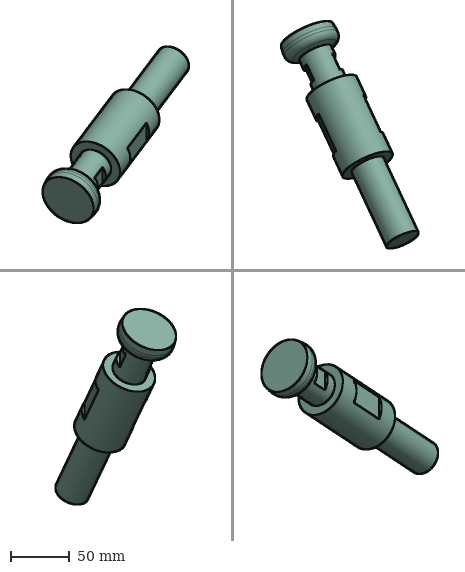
import cadquery as cq
import math

TOTAL_LENGTH = 200.0

SHAFT_DIAMETER = 30.0
SHAFT_FLAT_WIDTH = 24.0
SHAFT_FLAT_START = 26.5
SHAFT_FLAT_LENGTH = 15.0

HEAD_DIAMETER = 50.0
HEAD_FACE_DIAMETER = 48.5
HEAD_TAPER_LENGTH = 6.0
HEAD_BAND_LENGTH = 3.0
HEAD_ROUND_RADIUS = 7.2
HEAD_BACK_ANGLE = 21.0

SLEEVE_DIAMETER = 46.8
SLEEVE_START = 52.0
SLEEVE_LENGTH = 75.0
SLEEVE_FLAT_WIDTH = 41.5
SLEEVE_FLAT_LENGTH = 36.0

FRONT_Y = -TOTAL_LENGTH / 2


def cylinder(diameter, start, length):
    """Cylinder along +Y, starting at a distance from the head face."""
    origin = cq.Vector(0, FRONT_Y + start, 0)
    return cq.Workplane(cq.Solid.makeCylinder(diameter / 2, length, origin, cq.Vector(0, 1, 0)))


def cut_side_flats(body, diameter, across_flats, start, length):
    """Cut a pair of flats, facing -X and +X, into a cylindrical body."""
    depth = (diameter - across_flats) / 2
    for side in (-1, 1):
        cutter = cq.Workplane().box(2 * depth, length, diameter).translate(
            (side * (across_flats / 2 + depth), FRONT_Y + start + length / 2, 0)
        )
        body = body.cut(cutter)
    return body


def make_head():
    """Revolved head: tapered rim, straight band, rounded shoulder and conical back."""
    rim = HEAD_DIAMETER / 2
    shaft = SHAFT_DIAMETER / 2
    taper_end = FRONT_Y + HEAD_TAPER_LENGTH
    round_start = taper_end + HEAD_BAND_LENGTH
    round_center = rim - HEAD_ROUND_RADIUS

    def round_point(angle):
        """Point on the shoulder arc, by angle from the back-facing direction."""
        return (
            round_center + HEAD_ROUND_RADIUS * math.sin(angle),
            round_start + HEAD_ROUND_RADIUS * math.cos(angle),
        )

    back_angle = math.radians(HEAD_BACK_ANGLE)
    round_end = round_point(back_angle)
    round_middle = round_point((back_angle + math.pi / 2) / 2)
    back_y = round_end[1] + (round_end[0] - shaft) * math.tan(back_angle)

    return (
        cq.Workplane("XY")
        .moveTo(0, FRONT_Y)
        .lineTo(HEAD_FACE_DIAMETER / 2, FRONT_Y)
        .lineTo(rim, taper_end)
        .lineTo(rim, round_start)
        .threePointArc(round_middle, round_end)
        .lineTo(shaft, back_y)
        .lineTo(0, back_y)
        .close()
        .revolve(360, (0, 0, 0), (0, 1, 0))
    )


def make_plunger():
    """Shaft with wrench flats and a head on its front end."""
    shaft = cylinder(SHAFT_DIAMETER, 0, TOTAL_LENGTH)
    shaft = cut_side_flats(
        shaft, SHAFT_DIAMETER, SHAFT_FLAT_WIDTH, SHAFT_FLAT_START, SHAFT_FLAT_LENGTH
    )
    return shaft.union(make_head())


def make_sleeve():
    """Sleeve bored to fit the shaft, with wrench flats at mid-length."""
    sleeve = cylinder(SLEEVE_DIAMETER, SLEEVE_START, SLEEVE_LENGTH)
    flat_start = SLEEVE_START + (SLEEVE_LENGTH - SLEEVE_FLAT_LENGTH) / 2
    sleeve = cut_side_flats(
        sleeve, SLEEVE_DIAMETER, SLEEVE_FLAT_WIDTH, flat_start, SLEEVE_FLAT_LENGTH
    )
    return sleeve.cut(cylinder(SHAFT_DIAMETER, SLEEVE_START, SLEEVE_LENGTH))


plunger = make_plunger()
sleeve = make_sleeve()

result = cq.Compound.makeCompound([plunger.solids().val(), sleeve.solids().val()])